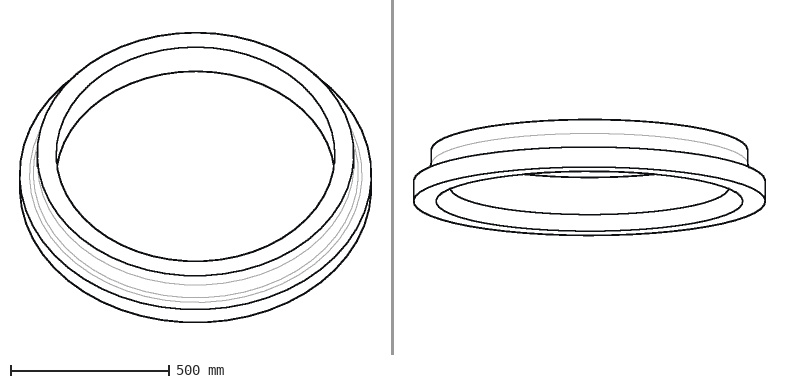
import cadquery as cq
import math

outer_radius = 556.0
bore_radius = 440.0
bore_chamfer = 45.0
neck_radius = 500.0
hub_radius = 514.0
blend_height = 9.0
flange_height = 65.0
neck_height = 45.0
total_height = 165.0

taper_top = total_height - neck_height
blend_top = flange_height + blend_height

taper_angle = math.atan2(hub_radius - neck_radius, taper_top - blend_top)
blend_radius = blend_height / (1 - math.sin(taper_angle))
blend_center_x = hub_radius + blend_radius * math.cos(taper_angle)
blend_center_z = flange_height + blend_radius
arc_mid_angle = (math.pi + taper_angle + 1.5 * math.pi) / 2
arc_middle = (
    blend_center_x + blend_radius * math.cos(arc_mid_angle),
    blend_center_z + blend_radius * math.sin(arc_mid_angle),
)

profile = (
    cq.Workplane("XZ")
    .moveTo(bore_radius + bore_chamfer, 0)
    .lineTo(outer_radius, 0)
    .lineTo(outer_radius, flange_height)
    .lineTo(blend_center_x, flange_height)
    .threePointArc(arc_middle, (hub_radius, blend_top))
    .lineTo(neck_radius, taper_top)
    .lineTo(neck_radius, total_height)
    .lineTo(bore_radius, total_height)
    .lineTo(bore_radius, bore_chamfer)
    .close()
)
result = profile.revolve(360, (0, 0, 0), (0, 1, 0))